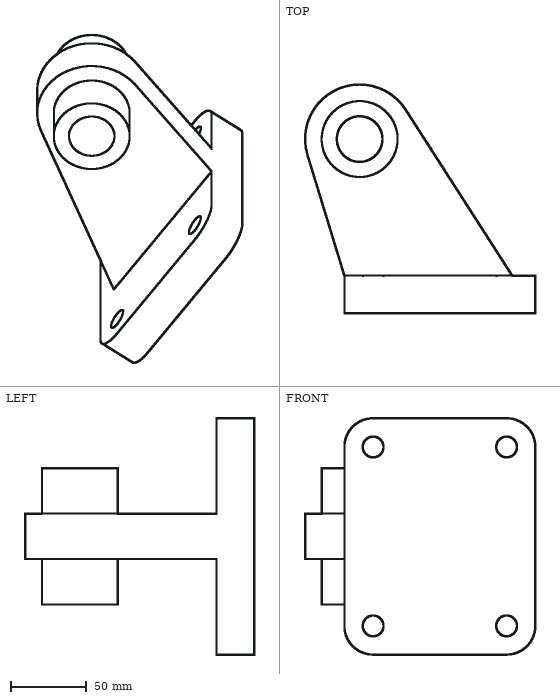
import cadquery as cq
import math

plate_width = 126.0
plate_height = 156.0
plate_thickness = 25.0
corner_radius = 19.0
bolt_hole_diameter = 13.5

arm_thickness = 30.0
arm_root_width = 110.8
eye_radius = 36.0
eye_inset = 10.1
eye_x = -plate_width / 2 + eye_inset
eye_y = 115.0

boss_diameter = 50.0
boss_length = 90.0
bore_diameter = 30.0


def eye_tangent_point(root, side):
    """Point where a line from root touches the eye; side is +1 (right) or -1 (left)."""
    dx = root[0] - eye_x
    dy = root[1] - eye_y
    angle = math.atan2(dy, dx) + side * math.acos(eye_radius / math.hypot(dx, dy))
    return (eye_x + eye_radius * math.cos(angle), eye_y + eye_radius * math.sin(angle))


def z_cylinder(diameter, length):
    """Cylinder on the eye axis, centred on Z = 0."""
    return cq.Workplane("XY").center(eye_x, eye_y).circle(diameter / 2).extrude(length / 2, both=True)


def make_plate():
    """Rounded plate with a bolt hole concentric with each corner."""
    plate = (
        cq.Workplane("XZ")
        .rect(plate_width, plate_height)
        .extrude(-plate_thickness)
        .edges("|Y")
        .fillet(corner_radius)
    )
    bolt_holes = (
        cq.Workplane("XZ")
        .rect(plate_width - 2 * corner_radius, plate_height - 2 * corner_radius, forConstruction=True)
        .vertices()
        .circle(bolt_hole_diameter / 2)
        .extrude(-plate_thickness)
    )
    return plate.cut(bolt_holes)


def make_arm():
    """Web with straight sides tangent to the eye."""
    root_left = (-plate_width / 2, plate_thickness)
    root_right = (root_left[0] + arm_root_width, plate_thickness)
    eye_top = (eye_x, eye_y + eye_radius)
    return (
        cq.Workplane("XY")
        .moveTo(*root_left)
        .lineTo(*root_right)
        .lineTo(*eye_tangent_point(root_right, 1))
        .threePointArc(eye_top, eye_tangent_point(root_left, -1))
        .close()
        .extrude(arm_thickness / 2, both=True)
    )


boss = z_cylinder(boss_diameter, boss_length)
bore = z_cylinder(bore_diameter, boss_length)
result = make_plate().union(make_arm()).union(boss).cut(bore)